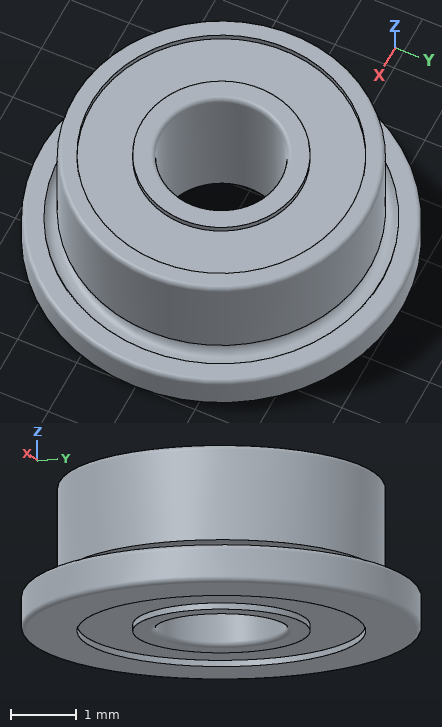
import cadquery as cq

height = 2.3
flange_diameter = 6.1
flange_thickness = 0.6
body_diameter = 5
bore_diameter = 2.0
edge_radius = 0.08

undercut_radius = 0.2

recess_inner_diameter = 2.7
recess_outer_diameter = 4.4
recess_depth = 0.1


def make_blank():
    """Flange and body with rounded rims and a through bore."""
    flange = cq.Workplane("XY").circle(flange_diameter / 2).extrude(flange_thickness)
    flange = flange.edges().fillet(edge_radius)
    body = cq.Workplane("XY").circle(body_diameter / 2).extrude(height)
    body = body.faces(">Z").edges().fillet(edge_radius)
    bore = cq.Workplane("XY").circle(bore_diameter / 2).extrude(height)
    blank = flange.union(body).cut(bore)
    bore_rims = cq.selectors.RadiusNthSelector(0)
    for end_face in (">Z", "<Z"):
        blank = blank.faces(end_face).edges(bore_rims).fillet(edge_radius)
    return blank


def make_undercut():
    """Torus that hollows out the corner between body and flange."""
    return cq.Workplane(cq.Solid.makeTorus(
        body_diameter / 2, undercut_radius, cq.Vector(0, 0, flange_thickness)
    ))


def make_recess(base_z):
    """Shallow ring to remove from an end face."""
    return (
        cq.Workplane("XY", origin=(0, 0, base_z))
        .circle(recess_outer_diameter / 2)
        .circle(recess_inner_diameter / 2)
        .extrude(recess_depth)
    )


result = make_blank().cut(make_undercut())

for recess_base in (0, height - recess_depth):
    result = result.cut(make_recess(recess_base))